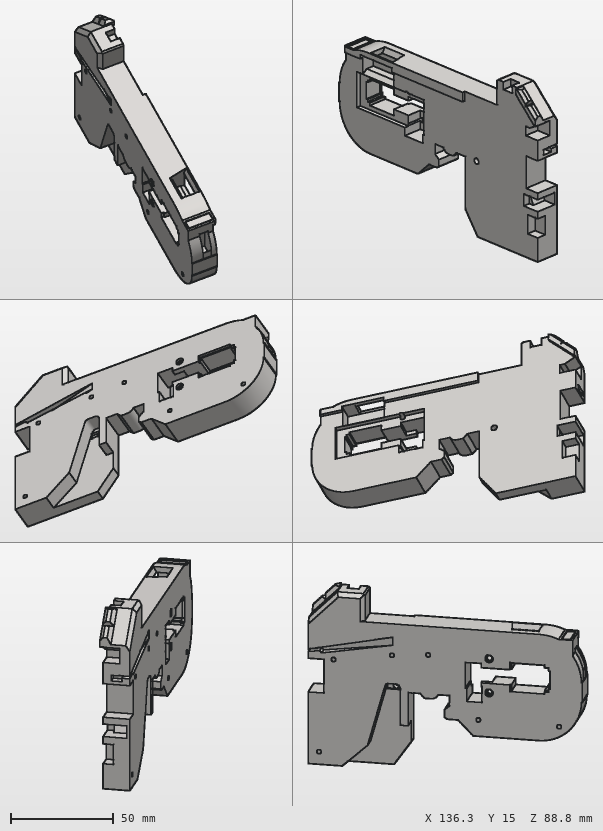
import cadquery as cq
import math

length = 136.3
height = 88.8
depth = 15.0
body_depth = 13.4
body_top = 75.1
body_bottom = 20.3
horn_x = 131.5
horn_top = 73.2
end_x = 135.9
upper_radius = 23.5
lower_radius = 21.1

head_right = 28.0
head_base = 68.1
head_joint = 20.5
slope_start = 74.7
head_chamfer = 2.0
head_corner = 0.8
ridge_height = 2.3
ridge_end = 13.4

grip_depth = 7.8
leg_left = 45.9
leg_right = 49.7
leg_bottom = 23.2
trigger_top = 40.2

channel_front = 6.1
channel_back = 10.6
channel_floor = 63.4


def box(x0, x1, y0, y1, z0, z1):
    """Axis-aligned box between two corners."""
    return cq.Workplane("XY").box(x1 - x0, y1 - y0, z1 - z0, centered=False).translate((x0, y0, z0))


def profile(points, y0, y1):
    """Closed XZ polygon extruded from y0 to y1."""
    return cq.Workplane("XZ", origin=(0, y0, 0)).polyline(points).close().extrude(y0 - y1)


def drill(x, z, radius, y0, y1):
    """Round cutter along Y."""
    return cq.Workplane("XZ", origin=(x, y0, z)).circle(radius).extrude(y0 - y1)


def make_body():
    """Main plate with pistol grip, trigger opening and rounded end."""
    lower_x = end_x - lower_radius
    lower_z = body_bottom + lower_radius
    upper_x = end_x - upper_radius
    upper_z = body_top - upper_radius
    diagonal = lower_radius * math.sqrt(0.5)
    upper_angle = math.acos((horn_x - upper_x) / upper_radius)
    upper_arc = [
        (upper_x + upper_radius * math.cos(angle), upper_z + upper_radius * math.sin(angle))
        for angle in (upper_angle / 2, upper_angle)
    ]
    outline = (
        cq.Workplane("XZ")
        .moveTo(0, 0)
        .lineTo(41.2, 0)
        .lineTo(leg_right, 12.3)
        .lineTo(leg_right, trigger_top)
        .lineTo(55.7, trigger_top)
        .lineTo(57.9, 37.9)
        .lineTo(61.6, 37.9)
        .threePointArc((63.4, 38.5), (64.7, trigger_top))
        .lineTo(70.3, trigger_top)
        .lineTo(70.3, 34.9)
        .lineTo(67.7, 32.7)
        .lineTo(67.7, 29.0)
        .lineTo(69.1, 28.0)
        .lineTo(74.5, 28.0)
        .lineTo(82.2, body_bottom)
        .lineTo(lower_x, body_bottom)
        .threePointArc((lower_x + diagonal, lower_z - diagonal), (end_x, lower_z))
        .lineTo(end_x, upper_z)
        .threePointArc(*upper_arc)
        .lineTo(horn_x, horn_top)
        .lineTo(124.5, horn_top)
        .threePointArc((120.2, 74.5), (115.3, body_top))
        .lineTo(head_joint, body_top)
        .lineTo(head_joint, head_base)
        .lineTo(0, head_base)
        .close()
    )
    wear_pad = box(end_x - 1.4, length, 0, body_depth, lower_z, upper_z)
    return outline.extrude(-body_depth).union(wear_pad)


def make_flange(body):
    """Thicker strip along the back of the upper edge."""
    corner_chamfer = 0.8
    strip = box(49.9, horn_x, body_depth, depth, 70.0, body_top)
    strip = strip.faces(">X").edges(">Y").chamfer(corner_chamfer)
    outline = body.translate((0, depth - body_depth, 0))
    return strip.intersect(outline)


def make_head():
    """Head block; it is chamfered oversize and then trimmed at X = 0."""
    overhang = 13.6
    block = profile(
        [
            (-overhang, slope_start - 2 * overhang),
            (-overhang, slope_start - overhang),
            (height - slope_start, height),
            (head_right, height),
            (head_right, slope_start - 2 * overhang),
        ],
        0,
        body_depth,
    )
    block = block.faces("<Y").edges().chamfer(head_chamfer)
    corner_points = [
        (head_right, height),
        (head_right, height - head_corner),
        (head_right - head_corner, height),
    ]
    corner = profile(corner_points, 0, depth)
    block = block.cut(corner)
    return block.intersect(box(0, head_right, 0, depth, head_base, height))


def make_ridge():
    """Bevelled ridge along the back half of the slope, split by a V notch."""
    lip_thickness = 1.5
    back_drop = 1.2
    ridge_front = 9.4
    ridge_bottom = 73.0
    section = [
        (ridge_front, 0),
        (11.3, ridge_height),
        (body_depth, ridge_height),
        (depth, ridge_height - back_drop),
        (depth, -lip_thickness),
        (ridge_front, -lip_thickness),
    ]
    slope_plane = cq.Plane(origin=(0, 0, slope_start), xDir=(0, 1, 0), normal=(1, 0, 1))
    ridge = cq.Workplane(slope_plane).polyline(section).close().extrude(40.9, both=True)
    notch_x = 7.0
    notch_z = slope_start + notch_x
    notch_points = [(notch_x, notch_z), (notch_x - 6.1, notch_z + 2.5), (notch_x - 1.8, notch_z + 5.9)]
    notch = profile(notch_points, ridge_front, depth)
    return ridge.intersect(box(0, ridge_end, 0, depth, ridge_bottom, height)).cut(notch)


def cut_left_side(part):
    """Openings in the left end face."""
    part = part.cut(box(0, 7.9, 0, depth, 36.9, 54.2))
    catch = [(0, 65.1), (8.2, 65.1), (8.2, 70.0), (5.5, 70.0), (0, 73.0)]
    part = part.cut(profile(catch, 5.0, body_depth))
    part = part.cut(box(0, 6.8, 8.2, body_depth, 13.0, 23.2))
    socket_bottom = 27.0
    socket_top = 33.4
    socket = [(0, socket_bottom), (6.8, socket_bottom), (9.5, socket_top), (0, socket_top)]
    part = part.cut(profile(socket, 1.6, 9.5))
    return part.cut(box(0, 9.5, 9.5, body_depth, socket_bottom, socket_top))


def cut_ramp_groove(part):
    """Widening groove on the front that gets shallower until it runs out."""
    ramp_end = 42.1
    ramp_depth = 5.5
    groove = profile(
        [(0, 59.0), (ramp_end, 68.1), (ramp_end, 64.0), (6.8, 57.5), (5.7, 58.6), (0, 57.8)], 0, ramp_depth
    )
    ramp = (
        cq.Workplane("XY")
        .polyline([(0, 0), (ramp_end, 0), (ramp_end, 0.1), (0, ramp_depth)])
        .close()
        .extrude(height)
    )
    part = part.cut(groove.intersect(ramp))
    return part.cut(box(0, 4.1, 4.0, 9.3, 56.0, 58.9))


def cut_grip(part):
    """Stepped-back grip face under a rounded arch, with a cross hole."""
    arch_top = 44.1
    shoulder_z = 42.0
    band_depth = 1.4
    hole_radius = 1.5
    recess = (
        cq.Workplane("XZ")
        .moveTo(17.0, 0)
        .lineTo(29.6, 11.6)
        .lineTo(37.0, 38.7)
        .lineTo(38.0, shoulder_z)
        .threePointArc((38.7, 43.5), (40.2, arch_top))
        .lineTo(43.5, arch_top)
        .threePointArc((45.1, 43.5), (leg_left, shoulder_z))
        .lineTo(leg_left, leg_bottom)
        .lineTo(leg_right, leg_bottom)
        .lineTo(leg_right, 0)
        .close()
        .extrude(-grip_depth)
    )
    band = box(37.6, leg_left, grip_depth, grip_depth + band_depth, 38.7, shoulder_z)
    return part.cut(recess).cut(band).cut(drill(42.0, 40.3, hole_radius, 0, depth))


def cut_slot(part):
    """Through slot: tall left bay, narrow neck, wide right bay with a rim."""
    neck_left = 86.0
    bay_left = 101.0
    rim_depth = 1.4
    skin = 2.7
    relief_front = 10.9
    neck_bottom = 48.0
    neck_top = 55.7
    left_bay = [
        (78.1, 57.9), (neck_left, 57.9), (neck_left, 46.0), (86.4, 46.0),
        (86.4, 37.9), (78.9, 37.9), (78.9, 44.5), (78.1, 44.5),
    ]
    right_bay = [
        (bay_left, 44.5), (117.5, 44.5), (117.5, 46.0), (119.1, 46.0), (119.1, 47.3), (119.9, 47.3),
        (119.9, 56.4), (119.1, 56.4), (119.1, 57.5), (117.5, 57.5), (117.5, 58.7), (bay_left, 58.7),
    ]
    rim = [
        (100.3, 44.5), (117.5, 44.5), (117.5, 45.5), (119.6, 45.5), (119.6, 47.3), (120.3, 47.3),
        (120.3, 56.4), (119.6, 56.4), (119.6, 58.2), (117.5, 58.2), (117.5, 59.4), (100.3, 59.4),
    ]
    part = part.cut(profile(left_bay, 0, depth)).cut(profile(right_bay, 0, depth))
    part = part.cut(box(neck_left, bay_left, 0, depth, neck_bottom, neck_top))
    part = part.cut(box(neck_left, 91.0, skin, depth, 37.9, 57.9))
    part = part.cut(box(78.1, 124.0, relief_front, body_depth, 42.2, 61.3))
    return part.cut(profile(rim, 0, rim_depth))


def cut_front_holes(part):
    """Two counterbored screw holes and the shallow round dimples."""
    screw_x = 89.9
    screw_radius = 1.2
    counterbore_radius = 1.9
    counterbore_depth = 1.4
    dimple_radius = 1.1
    dimple_depth = 0.1
    for z in (43.0, 60.6):
        part = part.cut(drill(screw_x, z, screw_radius, 0, depth))
        part = part.cut(drill(screw_x, z, counterbore_radius, 0, counterbore_depth))
    for x, z in ((5.5, 6.5), (12.7, 54.5), (41.7, 58.9), (59.7, 60.4), (84.6, 28.8), (124.8, 28.2)):
        part = part.cut(drill(x, z, dimple_radius, 0, dimple_depth))
    return part


def cut_window(part):
    """Window in the upper edge: a bevelled mouth over a channel that is open to the back."""
    front = 4.5
    back = 14.2
    left = 98.4
    right = 113.6
    channel_end = 119.9
    ledge_y = 12.7
    bevel_bottom = 72.2
    back_floor = 61.3
    plan = cq.Workplane("XY").polyline([(100.4, front), (right, front), (right, back), (left, back)]).close()
    mouth_section = [
        (front, body_top), (channel_front, bevel_bottom), (channel_front, channel_floor),
        (channel_back, channel_floor), (body_depth, back_floor), (back, back_floor),
        (back, bevel_bottom), (ledge_y, bevel_bottom), (back, body_top),
    ]
    mouth = cq.Workplane("YZ").polyline(mouth_section).close().extrude(length)
    part = part.cut(mouth.intersect(plan.extrude(height)))
    channel_section = [
        (channel_front, bevel_bottom), (channel_front, channel_floor),
        (channel_back, channel_floor), (body_depth, back_floor), (body_depth, bevel_bottom),
    ]
    channel = cq.Workplane("YZ", origin=(right, 0, 0)).polyline(channel_section).close()
    part = part.cut(channel.extrude(channel_end - right))
    return part.cut(box(left, channel_end, body_depth, depth, back_floor, bevel_bottom))


def cut_top_recesses(part):
    """Horn recess, head notch and the pocket in the rounded end."""
    horn_recess_depth = 0.5
    head_notch_depth = 4.1
    end_wall = 0.4
    part = part.cut(box(125.8, 130.1, 1.1, 13.9, horn_top - horn_recess_depth, horn_top))
    part = part.cut(box(17.6, 23.5, 8.5, body_depth, height - head_notch_depth, height))
    return part.cut(box(127.4, end_x - end_wall, channel_front, channel_back, 49.0, 66.8))


body = make_body()
part = body.union(make_flange(body)).union(make_head()).union(make_ridge())
part = cut_left_side(part)
part = cut_ramp_groove(part)
part = cut_grip(part)
part = cut_slot(part)
part = cut_front_holes(part)
part = cut_window(part)
result = cut_top_recesses(part)